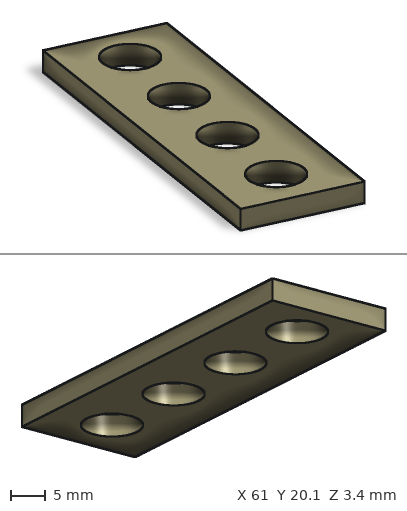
import cadquery as cq

length = 60.95
width = 20.05
thickness = 3.4

hole_diameter = 8.9
hole_count = 4
hole_pitch = 15.0
first_hole_from_end = 7.8

hole_centres = [
    (first_hole_from_end + i * hole_pitch, width / 2)
    for i in range(hole_count)
]

plate = cq.Workplane("XY").box(length, width, thickness, centered=False)
holes = (
    cq.Workplane("XY")
    .pushPoints(hole_centres)
    .circle(hole_diameter / 2)
    .extrude(thickness)
)

result = plate.cut(holes)